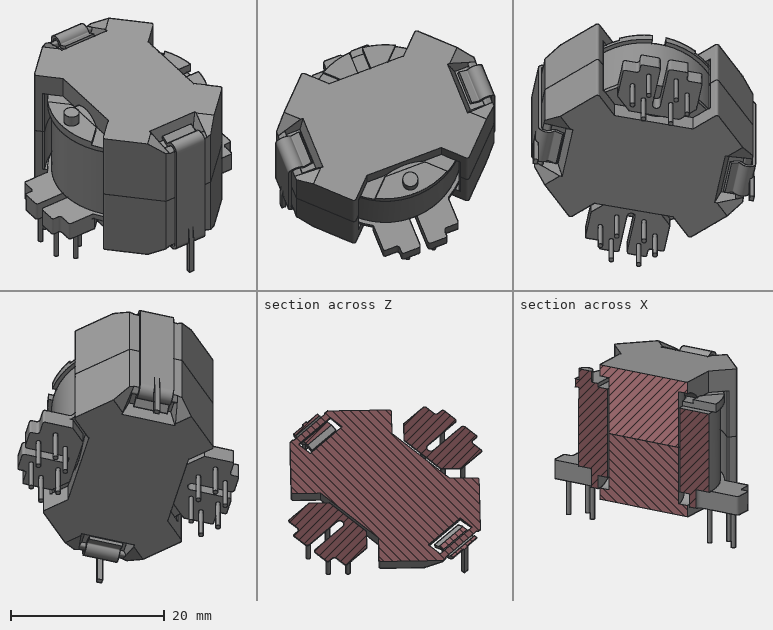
import cadquery as cq
import math


core_half_x = 13.83
core_half_z = 9.3
end_flat_half_y = 3.55
notch_half_x = 5.2
notch_y = 6.72
leg_tip_radius = 0.35
centre_post_dia = 10.7
cavity_radius = 10.93
cavity_half_z = 6.35
window_half_x = 6.95
window_flare_y = 8.3
window_flare_slope = 0.5
arch_radius = 2.95
arch_axis_z = 4.74

slope_run = 2.43
slope_drop = 1.3
pocket_depth = 1.8
pocket_top_half_y = 3.57
pocket_floor_half_y = 2.84
pocket_top_x = 10.1
pocket_floor_x = 10.82
ridge_edge_z = 7.75
ridge_crest_x = 13.15
ridge_crest_z = 8.13
ridge_radius = 0.25

bore_dia = 10.95
winding_dia = 20.0
flange_dia = 21.05
winding_top_z = 5.52
winding_bottom_z = -5.32
upper_flange_top_z = 6.17
lower_flange_bottom_z = -6.08
pad_top_z = 6.65
pad_inner_y = 7.0
pad_inner_half_x = 2.8
flange_slot_half_x = 0.9
locating_post_dia = 2.0
locating_post_y = -8.95
locating_post_top_z = 8.15

block_bottom_z = -7.9
block_half_x = 5.23
block_inner_half_x = 3.33
block_shoulder_y = 12.85
tongue_half_x = 3.15
block_overall_y = 28.2
block_half_y = block_overall_y / 2
block_slot_half_x = 0.53
block_slot_end_y = 8.05
block_corner_radius = 0.25
block_step_radius = 0.38
pin_dia = 0.6
pin_step = 1.8
pin_middle_y = 10.8
pin_tip_z = -12.9

clip_face_x = 14.45
clip_thickness = 0.45
clip_half_y = 2.25
clip_top_z = 8.75
clip_hook_radius = 1.1
clip_hook_wrap = 60.0
clip_dip_radius = 0.15
clip_flare_angle = 27.0
clip_flare_length = 1.08
terminal_half_y = 0.35
terminal_outer_x = 14.62
terminal_thickness = 0.55
terminal_top_z = -5.73
terminal_bend_end_z = -8.18

margin = 2.92
both_signs = (1, -1)


def cylinder(radius, bottom_z, top_z, x=0.0, y=0.0):
    """Upright round bar between two heights."""
    return cq.Workplane("XY").workplane(offset=bottom_z).center(x, y).circle(radius).extrude(top_z - bottom_z)


def box(x_range, y_range, z_range):
    """Block given by its limits along the three axes."""
    sizes = [high - low for low, high in (x_range, y_range, z_range)]
    return cq.Workplane("XY").box(*sizes, centered=False).translate((x_range[0], y_range[0], z_range[0]))


def round_upright_edge(shape, x, y, radius):
    """Round the upright edge that stands at the given place."""
    reach = 0.03
    around_edge = cq.selectors.BoxSelector(
        (x - reach, y - reach, -core_half_z),
        (x + reach, y + reach, core_half_z),
    )
    return shape.edges("|Z").edges(around_edge).fillet(radius)


def core_outline_block():
    """Octagon-like block with a notch in each long side, flat on Z = 0."""
    diagonal_sum = core_half_x + end_flat_half_y
    notch_difference = notch_y - notch_half_x
    tip_x = (diagonal_sum - notch_difference) / 2
    tip_y = (diagonal_sum + notch_difference) / 2
    outline = [(core_half_x, end_flat_half_y), (tip_x, tip_y), (notch_half_x, notch_y)]
    outline = outline + [(-x, y) for x, y in reversed(outline)]
    outline = outline + [(x, -y) for x, y in reversed(outline)]
    block = cq.Workplane("XY").polyline(outline).close().extrude(core_half_z)
    return block.edges("|Z").edges(">Y or <Y").fillet(leg_tip_radius)


def bobbin_cavity():
    """Ring cavity, window between the legs and arched passage, open towards Z = 0."""
    reach = core_half_x + margin
    cavity = cylinder(cavity_radius, 0, cavity_half_z)
    mouth_half_x = window_half_x + window_flare_slope * (reach - window_flare_y)
    window_quarter = [(window_half_x, window_flare_y), (mouth_half_x, reach)]
    window_outline = window_quarter + [(-x, y) for x, y in reversed(window_quarter)]
    window_outline = window_outline + [(-x, -y) for x, y in window_outline]
    cavity = cavity.union(cq.Workplane("XY").polyline(window_outline).close().extrude(cavity_half_z))
    arch = cq.Workplane("XZ").center(0, arch_axis_z).circle(arch_radius).extrude(reach, both=True)
    cavity = cavity.union(arch)
    return cavity.cut(cylinder(centre_post_dia / 2, -core_half_z, core_half_z))


def pocket_trough():
    """Endless trough along X whose sloping sides bound the clip pocket."""
    side_slope = (pocket_top_half_y - pocket_floor_half_y) / pocket_depth
    trough_depth = pocket_depth + margin
    bottom_half_y = pocket_top_half_y - trough_depth * side_slope
    bottom_z = core_half_z - trough_depth
    trough_outline = [
        (-pocket_top_half_y, core_half_z),
        (pocket_top_half_y, core_half_z),
        (bottom_half_y, bottom_z),
        (-bottom_half_y, bottom_z),
    ]
    return cq.Workplane("YZ").polyline(trough_outline).close().extrude(core_half_x + margin)


def clip_pocket():
    """Pocket at the +X end, with the rounded ridge that the clip hooks over."""
    floor_z = core_half_z - pocket_depth
    slope_angle = math.atan2(ridge_crest_z - ridge_edge_z, core_half_x - ridge_crest_x)
    round_x = ridge_crest_x - ridge_radius * math.sin(slope_angle)
    round_z = ridge_crest_z - ridge_radius * math.cos(slope_angle)
    middle_angle = (math.pi + math.pi / 2 - slope_angle) / 2
    round_middle = (
        round_x + ridge_radius * math.cos(middle_angle),
        round_z + ridge_radius * math.sin(middle_angle),
    )
    ridge_back_x = round_x - ridge_radius
    profile = (
        cq.Workplane("XZ")
        .moveTo(pocket_top_x, core_half_z)
        .lineTo(pocket_floor_x, floor_z)
        .lineTo(ridge_back_x, floor_z)
        .lineTo(ridge_back_x, round_z)
        .threePointArc(round_middle, (ridge_crest_x, ridge_crest_z))
        .lineTo(core_half_x, ridge_edge_z)
        .lineTo(core_half_x, core_half_z)
        .close()
    )
    return profile.extrude(core_half_x, both=True).intersect(pocket_trough())


def corner_slope():
    """Wedge above the slope at the (+X, +Y) corner, outside the clip pocket."""
    corner_distance = (core_half_x - end_flat_half_y) / math.sqrt(2)
    start = corner_distance - slope_run
    wedge_run = slope_run + margin
    wedge_drop = slope_drop * wedge_run / slope_run
    wedge_outline = [
        (start, core_half_z),
        (start + wedge_run, core_half_z),
        (start + wedge_run, core_half_z - wedge_drop),
    ]
    wedge = cq.Workplane("XZ").polyline(wedge_outline).close().extrude(core_half_x * 2, both=True)
    wedge = wedge.rotate((0, 0, 0), (0, 0, 1), -45)
    corner = box((0, core_half_x + margin), (0, core_half_x), (0, core_half_z))
    return wedge.intersect(corner).cut(pocket_trough())


def make_upper_core():
    """Upper core half with its parting face on Z = 0."""
    core = core_outline_block().cut(bobbin_cavity())
    slope = corner_slope()
    slopes = slope.union(slope.mirror("XZ"))
    for cut_shape in (slopes, clip_pocket()):
        core = core.cut(cut_shape).cut(cut_shape.mirror("YZ"))
    return core


def flange_pad(side):
    """Raised part of the upper flange inside the notch on one Y side."""
    outer_half_x = pad_inner_half_x + flange_dia / 2 - pad_inner_y
    pad_outline = [
        (-pad_inner_half_x, side * pad_inner_y),
        (pad_inner_half_x, side * pad_inner_y),
        (outer_half_x, side * flange_dia / 2),
        (-outer_half_x, side * flange_dia / 2),
    ]
    pad = cq.Workplane("XY").workplane(offset=winding_top_z).polyline(pad_outline).close()
    pad = pad.extrude(pad_top_z - winding_top_z)
    return pad.intersect(cylinder(flange_dia / 2, winding_top_z, pad_top_z))


def block_slot():
    """Slot with a round end through the +Y pin block and the lower flange."""
    slot_centre_y = block_slot_end_y + block_slot_half_x
    slot = box(
        (-block_slot_half_x, block_slot_half_x),
        (slot_centre_y, block_half_y + margin),
        (block_bottom_z, winding_bottom_z),
    )
    return slot.union(cylinder(block_slot_half_x, block_bottom_z, winding_bottom_z, y=slot_centre_y))


def pin_block():
    """Stepped block on the +Y side, split by the slot."""
    height = winding_bottom_z - block_bottom_z
    flare_end_y = pad_inner_y + block_half_x - block_inner_half_x
    outline = [
        (-block_inner_half_x, pad_inner_y),
        (-block_half_x, flare_end_y),
        (-block_half_x, block_shoulder_y),
        (-tongue_half_x, block_shoulder_y),
        (-tongue_half_x, block_half_y),
        (tongue_half_x, block_half_y),
        (tongue_half_x, block_shoulder_y),
        (block_half_x, block_shoulder_y),
        (block_half_x, flare_end_y),
        (block_inner_half_x, pad_inner_y),
    ]
    block = cq.Workplane("XY").workplane(offset=block_bottom_z).polyline(outline).close().extrude(height)
    block = block.cut(block_slot())
    for x_sign in both_signs:
        step_corners = [
            (x_sign * tongue_half_x, block_shoulder_y),
            (x_sign * block_slot_half_x, block_half_y),
        ]
        outer_corners = [
            (x_sign * tongue_half_x, block_half_y),
            (x_sign * block_half_x, block_shoulder_y),
        ]
        for x, y in step_corners:
            block = round_upright_edge(block, x, y, block_step_radius)
        for x, y in outer_corners:
            block = round_upright_edge(block, x, y, block_corner_radius)
    return block


def pin_positions():
    """Six pins on each Y side, in three rows of the diagonal grid."""
    rows = [(pin_step, -pin_step), (2 * pin_step, 0), (pin_step, pin_step)]
    return [
        (x_sign * x, y_sign * (pin_middle_y + y_offset))
        for x, y_offset in rows
        for x_sign in both_signs
        for y_sign in both_signs
    ]


def make_bobbin():
    """Winding, flanges, pin blocks, locating post and pins as one solid."""
    bobbin = cylinder(winding_dia / 2, winding_bottom_z, winding_top_z)
    bobbin = bobbin.union(cylinder(flange_dia / 2, winding_top_z, upper_flange_top_z))
    lower_flange = cylinder(flange_dia / 2, lower_flange_bottom_z, winding_bottom_z)
    lower_flange = lower_flange.cut(block_slot()).cut(block_slot().mirror("XZ"))
    bobbin = bobbin.union(lower_flange)
    block = pin_block()
    for side in both_signs:
        bobbin = bobbin.union(flange_pad(side))
    for pin_carrier in (block, block.mirror("XZ")):
        bobbin = bobbin.union(pin_carrier)
    meeting_y = math.sqrt((flange_dia / 2) ** 2 - block_half_x**2)
    for x in (-block_half_x, block_half_x):
        for y in (-meeting_y, meeting_y):
            bobbin = round_upright_edge(bobbin, x, y, block_corner_radius)
    flange_slot = box((-flange_slot_half_x, flange_slot_half_x), (0, flange_dia), (winding_top_z, pad_top_z))
    bobbin = bobbin.cut(flange_slot)
    bore = cylinder(bore_dia / 2, -core_half_z, core_half_z)
    bobbin = bobbin.cut(bore)
    locating_post = cylinder(locating_post_dia / 2, winding_top_z, locating_post_top_z, y=locating_post_y)
    bobbin = bobbin.union(locating_post)
    for x, y in pin_positions():
        bobbin = bobbin.union(cylinder(pin_dia / 2, pin_tip_z, winding_bottom_z, x, y))
    return bobbin


def point_on_circle(centre, radius, degrees):
    angle = math.radians(degrees)
    return (centre[0] + radius * math.cos(angle), centre[1] + radius * math.sin(angle))


def clip_hook():
    """Upper half of the +X clip: straight strip, hook, dip and rising end."""
    hook_inner = clip_hook_radius - clip_thickness
    dip_lower = clip_dip_radius + clip_thickness
    hook_end = 90 + clip_hook_wrap
    hook_middle = hook_end / 2
    dip_start = hook_end - 180
    dip_end = -90 - clip_flare_angle
    dip_middle = (dip_start + dip_end) / 2
    hook_centre = (clip_face_x - clip_hook_radius, clip_top_z - clip_hook_radius)
    dip_centre = point_on_circle(hook_centre, clip_hook_radius + clip_dip_radius, hook_end)
    rise = math.radians(180 - clip_flare_angle)
    flare = (clip_flare_length * math.cos(rise), clip_flare_length * math.sin(rise))
    upper_dip_end = point_on_circle(dip_centre, clip_dip_radius, dip_end)
    lower_dip_end = point_on_circle(dip_centre, dip_lower, dip_end)
    profile = (
        cq.Workplane("XZ")
        .moveTo(clip_face_x, 0)
        .lineTo(clip_face_x, hook_centre[1])
        .threePointArc(
            point_on_circle(hook_centre, clip_hook_radius, hook_middle),
            point_on_circle(hook_centre, clip_hook_radius, hook_end),
        )
        .threePointArc(point_on_circle(dip_centre, clip_dip_radius, dip_middle), upper_dip_end)
        .line(*flare)
        .lineTo(lower_dip_end[0] + flare[0], lower_dip_end[1] + flare[1])
        .lineTo(*lower_dip_end)
        .threePointArc(
            point_on_circle(dip_centre, dip_lower, dip_middle),
            point_on_circle(dip_centre, dip_lower, dip_start),
        )
        .threePointArc(
            point_on_circle(hook_centre, hook_inner, hook_middle),
            (clip_face_x - clip_thickness, hook_centre[1]),
        )
        .lineTo(clip_face_x - clip_thickness, 0)
        .close()
    )
    return profile.extrude(clip_half_y, both=True)


def clip_terminal():
    """Narrow solder leg of the +X clip, stepped outwards by an S bend."""
    bend_middle = ((clip_face_x + terminal_outer_x) / 2, (terminal_top_z + terminal_bend_end_z) / 2)
    profile = (
        cq.Workplane("XZ")
        .moveTo(terminal_outer_x, pin_tip_z)
        .lineTo(terminal_outer_x, terminal_bend_end_z)
        .tangentArcPoint(bend_middle, relative=False)
        .tangentArcPoint((clip_face_x, terminal_top_z), relative=False)
        .lineTo(clip_face_x - clip_thickness, terminal_top_z)
        .lineTo(terminal_outer_x - terminal_thickness, terminal_bend_end_z)
        .lineTo(terminal_outer_x - terminal_thickness, pin_tip_z)
        .close()
    )
    return profile.extrude(terminal_half_y, both=True)


def make_right_clip():
    """Clip at the +X end, hooked over both core halves."""
    hook = clip_hook()
    return hook.union(hook.mirror("XY")).union(clip_terminal())


upper_core = make_upper_core()
lower_core = upper_core.mirror("XY")
bobbin = make_bobbin()
right_clip = make_right_clip()
clips = [right_clip, right_clip.mirror("YZ")]
bodies = [upper_core, lower_core, bobbin] + clips

result = cq.Compound.makeCompound([body.solids().val() for body in bodies])